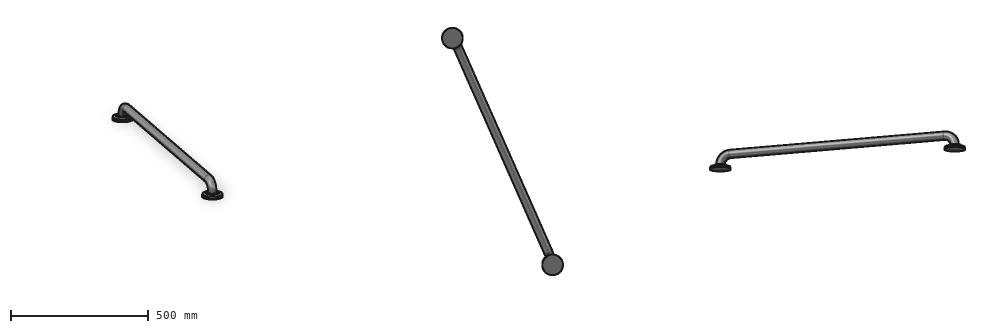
import cadquery as cq

overall_length = 991.0
overall_height = 70.0
tube_diameter = 32.0
bend_radius = 40.0

flange_diameter = 76.0
rim_height = 4.0
shoulder_diameter = 72.0
shoulder_height = 10.0
collar_base_diameter = 49.0
collar_base_height = 13.0
collar_diameter = 46.0
collar_height = 16.0

leg_x = (overall_length - flange_diameter) / 2
bar_axis_height = overall_height - tube_diameter / 2
bend_start_height = bar_axis_height - bend_radius
bar_end_x = leg_x - bend_radius


def make_tube():
    """Round bar with a quarter bend down to the flange at each end."""
    path = (
        cq.Workplane("XZ")
        .moveTo(-leg_x, 0)
        .lineTo(-leg_x, bend_start_height)
        .tangentArcPoint((-bar_end_x, bar_axis_height), relative=False)
        .lineTo(bar_end_x, bar_axis_height)
        .tangentArcPoint((leg_x, bend_start_height), relative=False)
        .lineTo(leg_x, 0)
    )
    return cq.Workplane("XY").center(-leg_x, 0).circle(tube_diameter / 2).sweep(path)


def make_flange(center_x):
    """Flange turned about a vertical axis at the given X position."""
    return (
        cq.Workplane("XZ")
        .lineTo(flange_diameter / 2, 0)
        .lineTo(flange_diameter / 2, rim_height)
        .lineTo(shoulder_diameter / 2, shoulder_height)
        .lineTo(collar_base_diameter / 2, collar_base_height)
        .lineTo(collar_diameter / 2, collar_height)
        .lineTo(0, collar_height)
        .close()
        .revolve(360, (0, 0, 0), (0, 1, 0))
        .translate((center_x, 0, 0))
    )


result = make_tube()
for side in (-1, 1):
    result = result.union(make_flange(side * leg_x))